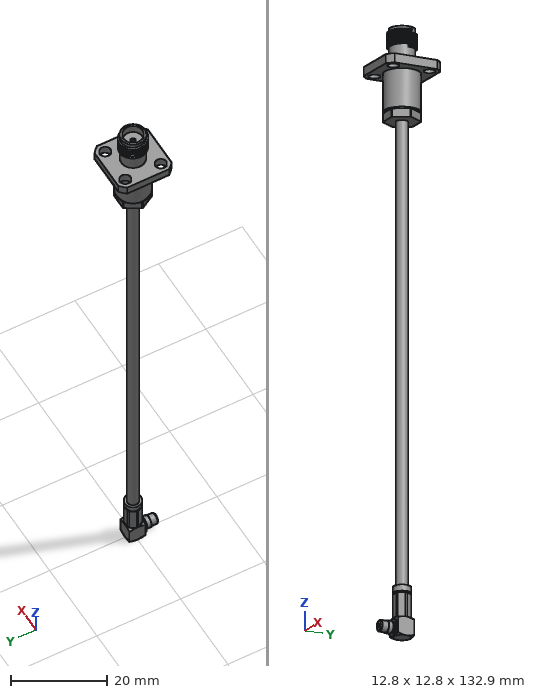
import cadquery as cq
import math

TOTAL_HEIGHT = 132.9

FLANGE_SIDE = 12.8
FLANGE_TURNED_RADIUS = 8.1
FLANGE_THICKNESS = 2.0
FLANGE_TOP = 125.2
FLANGE_BOTTOM = FLANGE_TOP - FLANGE_THICKNESS
FLANGE_HOLE_SPACING = 8.5
FLANGE_HOLE_DIAMETER = 2.5

NECK_RADIUS = 2.8
BORE_RADIUS = 2.3

THREAD_RADIUS = 3.2
THREAD_PITCH = 0.7
THREAD_TOP = 132.5
THREAD_BOTTOM = 128.3
THREAD_ROOT_WIDTH = 0.6
THREAD_CREST_WIDTH = 0.1
THREAD_SINK = 0.07

BARREL_RADIUS = 4.0
BARREL_BOTTOM = 114.6
BARREL_CHAMFER = 0.3
HEX_ACROSS_FLATS = 7.0
HEX_BOTTOM = 112.7

INSULATOR_TOP = 130.9
CONTACT_RADIUS = 0.6
SOCKET_RADIUS = 0.33
SOCKET_DEPTH = 2.7

CABLE_RADIUS = 1.3

FERRULE_DIAMETER = 3.9
FERRULE_RADIUS = FERRULE_DIAMETER / 2
FERRULE_TOP = 11.0
FERRULE_COLLAR_BOTTOM = 9.5
FERRULE_COLLAR_CHAMFER = 0.3
CRIMP_FLAT_DEPTH = 0.16
CRIMP_ACROSS_FLATS = FERRULE_DIAMETER - 2 * CRIMP_FLAT_DEPTH

ELBOW_SIDE = 3.9
ELBOW_HEIGHT = 4.1
ELBOW_CORNER_RADIUS = ELBOW_SIDE / math.sqrt(2)
ELBOW_CHAMFER_HEIGHT = 0.4
ELBOW_CHAMFER_DEPTH = ELBOW_CORNER_RADIUS - ELBOW_SIDE / 2
ELBOW_FACE = ELBOW_SIDE / 2

PLUG_AXIS_HEIGHT = 1.9
PLUG_SHOULDER_RADIUS = 1.9
PLUG_SHOULDER_END = 2.3
PLUG_RADIUS = 1.26
PLUG_END = 5.5
PLUG_CHAMFER = 0.3
SNAP_RING_STEP = 0.1
SNAP_RING_RADIUS = PLUG_RADIUS + SNAP_RING_STEP
SNAP_RING_START = 2.7
SNAP_RING_END = 3.7
PLUG_BORE_RADIUS = 0.4
PLUG_BORE_DEPTH = 1.3


def rod(radius, bottom, top):
    """Cylinder on the Z axis."""
    return cq.Workplane("XY").workplane(offset=bottom).circle(radius).extrude(top - bottom)


def plug_rod(radius, start, end):
    """Cylinder on the plug axis, between two distances toward -Y."""
    plane = cq.Workplane("XZ", origin=(0, -start, PLUG_AXIS_HEIGHT))
    return plane.circle(radius).extrude(end - start)


def flatted_rod(radius, across_flats, bottom, top):
    """Cylinder on the Z axis with six flats, two of them facing +Y and -Y."""
    corner_diameter = across_flats / math.cos(math.pi / 6)
    hexagon = cq.Workplane("XY").workplane(offset=bottom).polygon(6, corner_diameter).extrude(top - bottom)
    return hexagon.intersect(rod(radius, bottom, top))


def make_flange():
    plane = cq.Workplane("XY").workplane(offset=FLANGE_BOTTOM)
    flange = plane.rect(FLANGE_SIDE, FLANGE_SIDE).extrude(FLANGE_THICKNESS)
    flange = flange.intersect(rod(FLANGE_TURNED_RADIUS, FLANGE_BOTTOM, FLANGE_TOP))
    holes = (
        plane.rect(FLANGE_HOLE_SPACING, FLANGE_HOLE_SPACING, forConstruction=True)
        .vertices()
        .circle(FLANGE_HOLE_DIAMETER / 2)
        .extrude(FLANGE_THICKNESS)
    )
    return flange.cut(holes)


def make_thread():
    """Helical ridge whose root sinks slightly into the neck."""
    turns_height = THREAD_TOP - THREAD_BOTTOM - THREAD_PITCH
    middle = THREAD_BOTTOM + THREAD_PITCH / 2
    helix = cq.Wire.makeHelix(THREAD_PITCH, turns_height, NECK_RADIUS, center=cq.Vector(0, 0, middle))
    root = NECK_RADIUS - THREAD_SINK
    profile = [
        (root, middle - THREAD_ROOT_WIDTH / 2),
        (root, middle + THREAD_ROOT_WIDTH / 2),
        (THREAD_RADIUS, middle + THREAD_CREST_WIDTH / 2),
        (THREAD_RADIUS, middle - THREAD_CREST_WIDTH / 2),
    ]
    return cq.Workplane("XZ").polyline(profile).close().sweep(cq.Workplane(obj=helix), isFrenet=True)


def make_housing():
    barrel = rod(BARREL_RADIUS, BARREL_BOTTOM, FLANGE_BOTTOM).faces("<Z").chamfer(BARREL_CHAMFER)
    wrench_hex = flatted_rod(BARREL_RADIUS, HEX_ACROSS_FLATS, HEX_BOTTOM, BARREL_BOTTOM)
    neck = rod(NECK_RADIUS, FLANGE_TOP, TOTAL_HEIGHT)
    body = make_flange().union(barrel).union(wrench_hex).union(neck)
    return body.cut(rod(BORE_RADIUS, FLANGE_TOP, TOTAL_HEIGHT)).union(make_thread())


def make_contact():
    contact = rod(CONTACT_RADIUS, FLANGE_TOP, INSULATOR_TOP)
    return contact.cut(rod(SOCKET_RADIUS, INSULATOR_TOP - SOCKET_DEPTH, INSULATOR_TOP))


def make_insulator():
    insulator = rod(BORE_RADIUS, FLANGE_TOP, INSULATOR_TOP)
    return insulator.cut(rod(CONTACT_RADIUS, FLANGE_TOP, INSULATOR_TOP))


def make_ferrule():
    collar = rod(FERRULE_RADIUS, FERRULE_COLLAR_BOTTOM, FERRULE_TOP)
    collar = collar.faces("<Z").chamfer(FERRULE_COLLAR_CHAMFER)
    crimp = flatted_rod(FERRULE_RADIUS, CRIMP_ACROSS_FLATS, ELBOW_HEIGHT, FERRULE_COLLAR_BOTTOM)
    return collar.union(crimp).cut(rod(CABLE_RADIUS, ELBOW_HEIGHT, FERRULE_TOP))


def make_elbow():
    block = cq.Workplane("XY").rect(ELBOW_SIDE, ELBOW_SIDE).extrude(ELBOW_HEIGHT)
    bevel = rod(ELBOW_CORNER_RADIUS, 0, ELBOW_HEIGHT)
    bevel = bevel.faces("<Z or >Z").chamfer(ELBOW_CHAMFER_HEIGHT, ELBOW_CHAMFER_DEPTH)
    shoulder = plug_rod(PLUG_SHOULDER_RADIUS, ELBOW_FACE, PLUG_SHOULDER_END)
    plug = plug_rod(PLUG_RADIUS, ELBOW_FACE, PLUG_END).faces("<Y").chamfer(PLUG_CHAMFER)
    snap_ring = plug_rod(SNAP_RING_RADIUS, SNAP_RING_START, SNAP_RING_END)
    bore = plug_rod(PLUG_BORE_RADIUS, PLUG_END - PLUG_BORE_DEPTH, PLUG_END)
    return block.intersect(bevel).union(shoulder).union(plug).union(snap_ring).cut(bore)


housing = make_housing()
insulator = make_insulator()
contact = make_contact()
cable = rod(CABLE_RADIUS, ELBOW_HEIGHT, HEX_BOTTOM)
ferrule = make_ferrule()
elbow = make_elbow()

bodies = [housing, insulator, contact, cable, ferrule, elbow]
result = cq.Compound.makeCompound([body.val() for body in bodies])